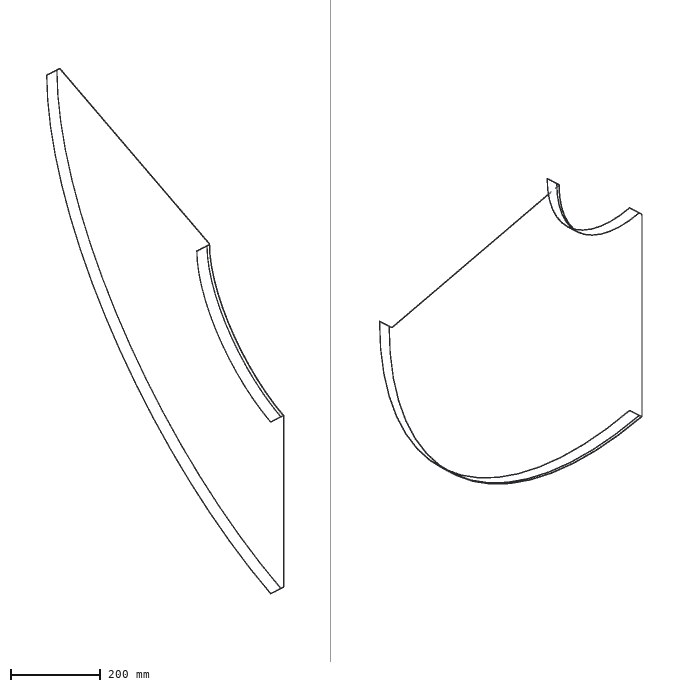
import cadquery as cq
import math

outer_radius = 904.5
inner_radius = 298.0
height = 35.0
sheet = 1.0
lip_height = 8.0
bend_radius = 3.0
sweep_angle = 90

rim_height = height - lip_height
inside_bend_radius = bend_radius - sheet


def sweep_quarter(profile):
    """Revolve a radial profile, drawn at -X, about -Y to the -Z side."""
    return profile.revolve(sweep_angle, (0, 0, 0), (0, -1, 0))


def make_plate():
    """Quarter-ring floor with a short lip bent up along each curved side."""
    arc_middle = 1 - math.sqrt(0.5)
    bend_centre_y = -bend_radius
    outer_bend_x = -outer_radius + bend_radius
    inner_bend_x = -inner_radius - bend_radius
    outside_offset = bend_radius * arc_middle
    inside_offset = sheet + inside_bend_radius * arc_middle
    profile = (
        cq.Workplane("XY")
        .moveTo(-outer_radius, -lip_height)
        .lineTo(-outer_radius, bend_centre_y)
        .threePointArc((-outer_radius + outside_offset, -outside_offset), (outer_bend_x, 0))
        .lineTo(inner_bend_x, 0)
        .threePointArc((-inner_radius - outside_offset, -outside_offset), (-inner_radius, bend_centre_y))
        .lineTo(-inner_radius, -lip_height)
        .lineTo(-inner_radius - sheet, -lip_height)
        .lineTo(-inner_radius - sheet, bend_centre_y)
        .threePointArc((-inner_radius - inside_offset, -inside_offset), (inner_bend_x, -sheet))
        .lineTo(outer_bend_x, -sheet)
        .threePointArc((-outer_radius + inside_offset, -inside_offset), (-outer_radius + sheet, bend_centre_y))
        .lineTo(-outer_radius + sheet, -lip_height)
        .close()
    )
    return sweep_quarter(profile)


def make_rim(large_radius):
    """Curved side wall that continues a lip of the plate."""
    profile = (
        cq.Workplane("XY")
        .moveTo(-large_radius, -lip_height)
        .rect(sheet, -rim_height, centered=False)
    )
    return sweep_quarter(profile)


plate = make_plate()
outer_rim = make_rim(outer_radius)
inner_rim = make_rim(inner_radius + sheet)

result = cq.Compound.makeCompound([plate.val(), outer_rim.val(), inner_rim.val()])